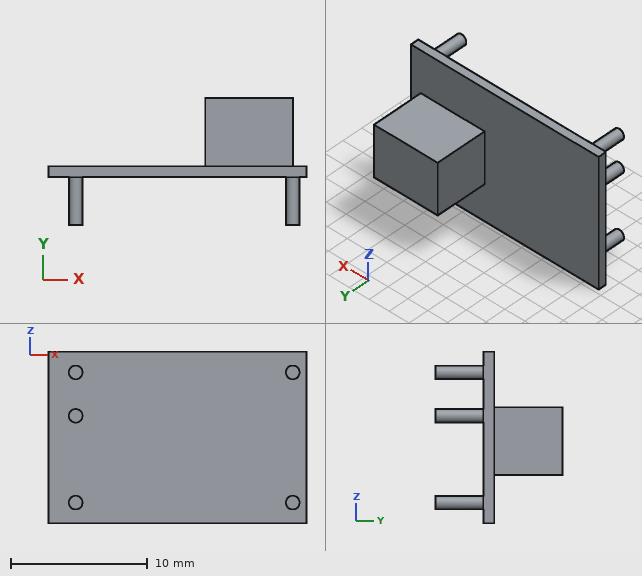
import cadquery as cq

board_width = 18.92
board_height = 12.56
board_thickness = 0.8

pin_diameter = 1.0
pin_length = 3.52
pin_pitch = 3.18
pin_left_margin = 2.0
pin_rows_spanned = 3
pin_columns_spanned = 5

block_width = 6.43
block_depth = 5.0
block_height = 5.0
block_left = 11.48
block_bottom = 3.52

left_x = pin_left_margin
right_x = left_x + pin_columns_spanned * pin_pitch
bottom_z = (board_height - pin_rows_spanned * pin_pitch) / 2
top_z = board_height - bottom_z
extra_pin_z = top_z - pin_pitch

pin_centers = [
    (left_x, bottom_z),
    (left_x, extra_pin_z),
    (left_x, top_z),
    (right_x, bottom_z),
    (right_x, top_z),
]

board = cq.Workplane("XY").box(board_width, board_thickness, board_height, centered=False)

block = (
    cq.Workplane("XY")
    .box(block_width, block_depth, block_height, centered=False)
    .translate((block_left, board_thickness, block_bottom))
)

pins = cq.Workplane("XZ").pushPoints(pin_centers).circle(pin_diameter / 2).extrude(pin_length)

result = board.union(block).union(pins)